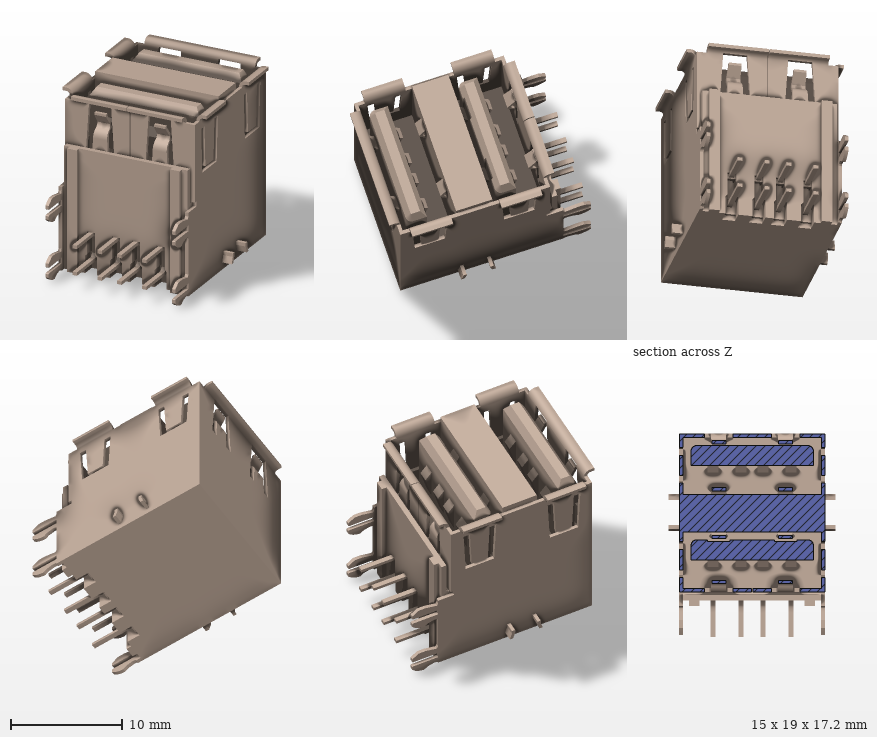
import cadquery as cq
import math


SHELL_WIDTH = 13.08
SHELL_BACK = 15.49
SHELL_FRONT = 1.28
SHELL_TOP = 16.31
SHEET = 0.33
INNER_WIDTH = SHELL_WIDTH - 2 * SHEET
INNER_BACK = SHELL_BACK - SHEET
INNER_FRONT = SHELL_FRONT + SHEET
SEAM_GAP = 0.08

LIP_BEND_RADIUS = 0.33
LIP_REACH = 0.71
LIP_TOP = SHELL_TOP + LIP_BEND_RADIUS + SHEET
FRONT_LIP_WIDTH = 11.17
SIDE_LIP_WIDTH = 3.86

PORT_PITCH = 8.47
BACK_PORT_Y = 12.63
PORT_YS = (BACK_PORT_Y, BACK_PORT_Y - PORT_PITCH)
SEPARATOR_BACK = 10.09
SEPARATOR_FRONT = 6.65

TONGUE_WIDTH = 11.04
TONGUE_DEPTH = 1.84
TONGUE_CORNER_RADIUS = 0.55
TONGUE_TOP = 16.5
TONGUE_BEVEL_HEIGHT = 0.75
TONGUE_BEVEL_INSET = 0.48
TONGUE_RELIEF_WIDTH = 2.0
TONGUE_RELIEF_DEPTH = 0.16

CONTACT_XS = (-3.5, -1.0, 1.0, 3.5)
CONTACT_WIDTH = 1.0
CONTACT_HEIGHT = 0.63
CONTACT_ROOT_Z = 10.9
CONTACT_CREST_Z = 13.2
CONTACT_TIP_Z = 13.93
PIN_WIDTH = 0.45
PIN_THICKNESS = 0.33
PIN_TIP_Y = -2.78
PIN_ROW_PITCH = 2.61
LOWER_PIN_TOP = 1.5
PIN_ROW_TOPS = (LOWER_PIN_TOP, LOWER_PIN_TOP + PIN_ROW_PITCH)
PIN_BEND_HEIGHT = 0.32

LEDGE_TOP = 8.56
PLATE_TOP = 12.1
PLATE_FRONT = 0.49
PLATE_BACK = 0.98
PLATE_FOOT_BEVEL = 0.2
RIB_CENTRE_X = 5.18
RIB_WIDTH = 0.96

SLOT_FLOOR_Y = 1.5
SLOT_STEP_Y = 0.75
SLOT_WIDTH = 0.82
SLOT_FOOT_WIDTH = 1.2
SLOT_TOP = PIN_ROW_TOPS[1]
SLOT_STEP_TOP = 3.66
SLOT_RELIEF_TOP = 0.48
SLOT_RELIEF_Y = 1.8
SLOT_TAPER_TOP = 1.9
SLOT_TAPER_BOTTOM = 1.7

SPRING_X = 3.0
SPRING_ROOT_Z = 11.07
SPRING_BEND_Z = 13.05
SPRING_CURVE_CHANGE_Z = 13.87
SPRING_CREST_Z = 14.36
SPRING_TAIL_Z = 15.33
SPRING_TIP_Z = 15.56
SPRING_BULGE = 0.6
FRONT_SPRING_BULGE = 0.74
SPRING_CURVE_CHANGE_RATIO = 0.65
SPRING_ROOT_WIDTH = 1.64
SPRING_TIP_WIDTH = 1.15
WINDOW_TOP = 16.43
WINDOW_ROOT_WIDTH = 2.92
WINDOW_TOP_WIDTH = 2.22

SIDE_CUT_CENTRE = 12.67
SIDE_CUT_TOP = 15.44
SIDE_CUT_BOTTOM = 11.07
SIDE_CUT_TOP_WIDTH = 3.29
SIDE_CUT_BOTTOM_WIDTH = 2.86
SIDE_FINGER_CENTRE = 12.66
SIDE_FINGER_END = 11.47
SIDE_FINGER_TOP_WIDTH = 1.99
SIDE_FINGER_END_WIDTH = 1.61

STEP_Z = 8.21
NOTCH_TOP = 8.7
LOWER_LOCK_Z = 1.0
LOCK_PITCH = 5.69
LOCK_CENTRES = (LOWER_LOCK_Z, LOWER_LOCK_Z + LOCK_PITCH)
LOCK_GAP = 0.55
LOCK_TIP_Y = -2.61
LOCK_TIP_HALF_HEIGHT = 0.69
LOCK_TIP_BEVEL = 0.07
LOCK_NECK_Y = -0.12
UPPER_CHEEK_START_Y = -1.27
UPPER_CHEEK_HALF_HEIGHT = 1.15
UPPER_CHEEK_END_Y = -1.96
UPPER_NECK_HALF_HEIGHT = 0.92
LOWER_CHEEK_HALF_HEIGHT = 1.25
LOWER_CHEEK_CREST_Y = -1.4
LOWER_CHEEK_ROOT = (-1.04, -0.98)
LOWER_CHEEK_BULGE = (-2.05, -1.1)
LOWER_WAIST = (-0.43, -0.82)
LOWER_NECK_HALF_HEIGHT = 0.84
LOWER_ROOT_HALF_HEIGHT = 0.98
BARB_SPAN = 15.0
BARB_CENTRE_Y = 8.39
BARB_TOP = 1.69
BARB_KINK_Z = 1.35
BARB_BOTTOM = 0.7
BARB_OFFSET = 1.12
BARB_LEAN = 0.21

OVERLAP = 0.05


def box(x0, x1, y0, y1, z0, z1):
    return cq.Workplane("XY").box(x1 - x0, y1 - y0, z1 - z0, centered=False).translate((x0, y0, z0))


def centred_box(x, width, y0, y1, z0, z1):
    return box(x - width / 2, x + width / 2, y0, y1, z0, z1)


def side_prism(points, x, width):
    """Extrude a (Y, Z) outline along X, centred on x."""
    return cq.Workplane("YZ", origin=(x, 0, 0)).polyline(points).close().extrude(width / 2, both=True)


def trapezoid(centre, z0, width0, z1, width1):
    return [
        (centre - width0 / 2, z0),
        (centre + width0 / 2, z0),
        (centre + width1 / 2, z1),
        (centre - width1 / 2, z1),
    ]


def front_prism(points, y0, y1):
    """Extrude an (X, Z) outline from y0 to y1."""
    return cq.Workplane("XZ", origin=(0, y0, 0)).polyline(points).close().extrude(y0 - y1)


def both_sides(solid):
    return solid.union(solid.mirror("YZ"))


def make_walls():
    half = SHELL_WIDTH / 2
    side_points = [
        (0, 0),
        (SHELL_BACK, 0),
        (SHELL_BACK, SHELL_TOP),
        (SHELL_FRONT, SHELL_TOP),
        (SHELL_FRONT, NOTCH_TOP),
        (INNER_FRONT, NOTCH_TOP),
        (INNER_FRONT, STEP_Z),
        (0, STEP_Z),
    ]
    sides = both_sides(side_prism(side_points, half - SHEET / 2, SHEET))
    back = box(-half, half, INNER_BACK, SHELL_BACK, 0, SHELL_TOP)
    front = centred_box(0, INNER_WIDTH, SHELL_FRONT, INNER_FRONT, LEDGE_TOP, SHELL_TOP)
    return sides.union(back).union(front)


def make_lip(length):
    """Lip bending outwards towards +X from a wall whose outer face is X = 0, centred on Y = 0."""
    outer_radius = LIP_BEND_RADIUS + SHEET
    diagonal = math.sqrt(0.5)
    bend_x = LIP_BEND_RADIUS
    profile = (
        cq.Workplane("XZ")
        .moveTo(-SHEET, SHELL_TOP)
        .threePointArc(
            (bend_x - outer_radius * diagonal, SHELL_TOP + outer_radius * diagonal),
            (bend_x, LIP_TOP),
        )
        .lineTo(LIP_REACH, LIP_TOP)
        .lineTo(LIP_REACH, LIP_TOP - SHEET)
        .lineTo(bend_x, LIP_TOP - SHEET)
        .threePointArc(
            (bend_x - LIP_BEND_RADIUS * diagonal, SHELL_TOP + LIP_BEND_RADIUS * diagonal),
            (0, SHELL_TOP),
        )
        .close()
    )
    return profile.extrude(length / 2, both=True)


def place_lip(length, angle, x, y):
    return make_lip(length).rotate((0, 0, 0), (0, 0, 1), angle).translate((x, y, 0))


def make_lips():
    lips = place_lip(FRONT_LIP_WIDTH, 90, 0, SHELL_BACK)
    lips = lips.union(place_lip(FRONT_LIP_WIDTH, -90, 0, SHELL_FRONT))
    for y in PORT_YS:
        lips = lips.union(both_sides(place_lip(SIDE_LIP_WIDTH, 0, SHELL_WIDTH / 2, y)))
    return lips


def make_spring(x, wall_outer_y, inward, bulge=SPRING_BULGE):
    """Bent strip that rises from a wall, bulges into the port and returns to the wall plane."""
    foot_z = SPRING_ROOT_Z - OVERLAP
    change = bulge * SPRING_CURVE_CHANGE_RATIO
    rise = SPRING_CURVE_CHANGE_Z - SPRING_BEND_Z
    bend_radius = (change**2 + rise**2) / (2 * change)
    half_bend = math.asin(rise / bend_radius) / 2
    bend_mid = bend_radius * (1 - math.cos(half_bend))
    bend_mid_z = SPRING_BEND_Z + bend_radius * math.sin(half_bend)

    def at(offset, z):
        return (wall_outer_y + inward * offset, z)

    def surface_line(wire, skin):
        """Edge of the strip from its foot over the bulge to its tip."""
        return (
            wire.moveTo(*at(skin, foot_z))
            .lineTo(*at(skin, SPRING_BEND_Z))
            .threePointArc(at(skin + bend_mid, bend_mid_z), at(skin + change, SPRING_CURVE_CHANGE_Z))
            .tangentArcPoint(at(skin + bulge, SPRING_CREST_Z), relative=False)
            .lineTo(*at(skin, SPRING_TAIL_Z))
            .lineTo(*at(skin, SPRING_TIP_Z))
        )

    blank_depth = SHEET + bulge + OVERLAP

    def behind(skin):
        """Everything between a surface of the strip and a plane well outside the wall."""
        wire = surface_line(cq.Workplane("YZ", origin=(x, 0, 0)), skin)
        wire = wire.lineTo(*at(-blank_depth, SPRING_TIP_Z)).lineTo(*at(-blank_depth, foot_z)).close()
        return wire.extrude(SPRING_ROOT_WIDTH, both=True)

    strip = behind(SHEET).cut(behind(0))
    outline = trapezoid(x, foot_z, SPRING_ROOT_WIDTH, SPRING_TIP_Z, SPRING_TIP_WIDTH)
    return strip.intersect(front_prism(outline, wall_outer_y - blank_depth, wall_outer_y + blank_depth))


def make_spring_windows():
    """Openings around the spring fingers of the front and back walls, running up into the lip bends."""
    outline = trapezoid(SPRING_X, SPRING_ROOT_Z, WINDOW_ROOT_WIDTH, WINDOW_TOP, WINDOW_TOP_WIDTH)
    front = front_prism(outline, SHELL_FRONT - LIP_BEND_RADIUS, INNER_FRONT + OVERLAP)
    back = front_prism(outline, INNER_BACK - OVERLAP, SHELL_BACK + LIP_BEND_RADIUS)
    return both_sides(front.union(back))


def make_side_cut(shift):
    cut = trapezoid(
        SIDE_CUT_CENTRE + shift, SIDE_CUT_BOTTOM, SIDE_CUT_BOTTOM_WIDTH, SIDE_CUT_TOP, SIDE_CUT_TOP_WIDTH
    )
    finger = trapezoid(
        SIDE_FINGER_CENTRE + shift, SIDE_FINGER_END, SIDE_FINGER_END_WIDTH, SIDE_CUT_TOP, SIDE_FINGER_TOP_WIDTH
    )
    x = (SHELL_WIDTH - SHEET) / 2
    width = SHEET + 2 * OVERLAP
    return both_sides(side_prism(cut, x, width).cut(side_prism(finger, x, width)))


def make_board_lock(z):
    """Pair of prongs either side of a gap centred on z."""
    x = (SHELL_WIDTH - SHEET) / 2
    half_gap = LOCK_GAP / 2
    upper = [
        (OVERLAP, half_gap),
        (LOCK_TIP_Y + LOCK_TIP_BEVEL, half_gap),
        (LOCK_TIP_Y, half_gap + LOCK_TIP_BEVEL),
        (LOCK_TIP_Y, LOCK_TIP_HALF_HEIGHT),
        (UPPER_CHEEK_END_Y, UPPER_CHEEK_HALF_HEIGHT),
        (UPPER_CHEEK_START_Y, UPPER_CHEEK_HALF_HEIGHT),
        (LOCK_NECK_Y, UPPER_NECK_HALF_HEIGHT),
        (0, UPPER_CHEEK_HALF_HEIGHT),
        (OVERLAP, UPPER_CHEEK_HALF_HEIGHT),
    ]
    lower = (
        cq.Workplane("YZ", origin=(x, 0, 0))
        .moveTo(OVERLAP, -half_gap)
        .lineTo(LOCK_TIP_Y + LOCK_TIP_BEVEL, -half_gap)
        .lineTo(LOCK_TIP_Y, -half_gap - LOCK_TIP_BEVEL)
        .lineTo(LOCK_TIP_Y, -LOCK_TIP_HALF_HEIGHT)
        .threePointArc(LOWER_CHEEK_BULGE, (LOWER_CHEEK_CREST_Y, -LOWER_CHEEK_HALF_HEIGHT))
        .lineTo(*LOWER_CHEEK_ROOT)
        .lineTo(*LOWER_WAIST)
        .lineTo(LOCK_NECK_Y, -LOWER_NECK_HALF_HEIGHT)
        .lineTo(0, -LOWER_ROOT_HALF_HEIGHT)
        .lineTo(OVERLAP, -LOWER_ROOT_HALF_HEIGHT)
        .close()
        .extrude(SHEET / 2, both=True)
    )
    prongs = side_prism(upper, x, SHEET).union(lower)
    return both_sides(prongs.translate((0, 0, z)))


def make_barbs():
    """Kinked tabs that stand out from the side walls near their lower edge."""
    x = (BARB_SPAN + INNER_WIDTH) / 4
    width = (BARB_SPAN - INNER_WIDTH) / 2
    barbs = None
    for side in (1, -1):
        near = BARB_CENTRE_Y + side * BARB_OFFSET
        points = [
            (near, BARB_TOP),
            (near, BARB_KINK_Z),
            (near + side * BARB_LEAN, BARB_BOTTOM),
            (near + side * (BARB_LEAN + SHEET), BARB_BOTTOM),
            (near + side * SHEET, BARB_KINK_Z),
            (near + side * SHEET, BARB_TOP),
        ]
        barb = both_sides(side_prism(points, x, width))
        barbs = barb if barbs is None else barbs.union(barb)
    return barbs


def make_shell():
    shell = make_walls().union(make_lips())
    shell = shell.cut(make_spring_windows())
    for y in PORT_YS:
        shell = shell.cut(make_side_cut(y - BACK_PORT_Y))
    shell = shell.cut(centred_box(0, SEAM_GAP, SHELL_FRONT - LIP_REACH, INNER_FRONT, LEDGE_TOP, LIP_TOP))
    for x in (-SPRING_X, SPRING_X):
        shell = shell.union(make_spring(x, SHELL_BACK, -1))
        shell = shell.union(make_spring(x, SHELL_FRONT, 1, FRONT_SPRING_BULGE))
    for z in LOCK_CENTRES:
        shell = shell.union(make_board_lock(z))
    return shell.union(make_barbs())


def make_tongue(port_y):
    front = port_y
    back = port_y + TONGUE_DEPTH
    bevel_z = TONGUE_TOP - TONGUE_BEVEL_HEIGHT

    def blank(z):
        half = TONGUE_WIDTH / 2
        r = TONGUE_CORNER_RADIUS
        d = r * (1 - math.sqrt(0.5))
        return (
            cq.Workplane("XY", origin=(0, 0, z))
            .moveTo(-half, front)
            .lineTo(half, front)
            .lineTo(half, back - r)
            .threePointArc((half - d, back - d), (half - r, back))
            .lineTo(-half + r, back)
            .threePointArc((-half + d, back - d), (-half, back - r))
            .close()
        )

    taper = math.degrees(math.atan2(TONGUE_BEVEL_INSET, TONGUE_BEVEL_HEIGHT))
    stem = blank(LEDGE_TOP - OVERLAP).extrude(bevel_z - LEDGE_TOP + OVERLAP)
    tongue = stem.union(blank(bevel_z).extrude(TONGUE_BEVEL_HEIGHT, taper=taper))
    contact = [
        (front + OVERLAP, CONTACT_ROOT_Z),
        (front, CONTACT_ROOT_Z),
        (front - CONTACT_HEIGHT, CONTACT_CREST_Z),
        (front, CONTACT_TIP_Z),
        (front + OVERLAP, CONTACT_TIP_Z),
    ]
    for x in CONTACT_XS:
        tongue = tongue.union(side_prism(contact, x, CONTACT_WIDTH))
    return tongue


def make_separator():
    separator = centred_box(0, INNER_WIDTH, SEPARATOR_FRONT, SEPARATOR_BACK, LEDGE_TOP, LIP_TOP)
    for x in (-SPRING_X, SPRING_X):
        separator = separator.union(make_spring(x, SEPARATOR_BACK - SHEET, 1))
        separator = separator.union(make_spring(x, SEPARATOR_FRONT + SHEET, -1))
    return separator


def make_pin_slot(x):
    """Slot in the housing face, wider and deeper towards the underside and shallow at its top."""
    half = SLOT_WIDTH / 2
    half_foot = SLOT_FOOT_WIDTH / 2

    def tapered(top, floor):
        points = [
            (x - half, top),
            (x + half, top),
            (x + half, SLOT_TAPER_TOP),
            (x + half_foot, SLOT_TAPER_BOTTOM),
            (x + half_foot, -OVERLAP),
            (x - half_foot, -OVERLAP),
            (x - half_foot, SLOT_TAPER_BOTTOM),
            (x - half, SLOT_TAPER_TOP),
        ]
        return front_prism(points, 0, floor)

    relief = centred_box(x, SLOT_FOOT_WIDTH, 0, SLOT_RELIEF_Y, -OVERLAP, SLOT_RELIEF_TOP)
    return tapered(SLOT_TOP, SLOT_STEP_Y).union(tapered(SLOT_STEP_TOP, SLOT_FLOOR_Y)).union(relief)


def make_pins(x):
    pins = None
    for top in PIN_ROW_TOPS:
        pin = centred_box(x, PIN_WIDTH, PIN_TIP_Y, SLOT_FLOOR_Y + OVERLAP, top - PIN_THICKNESS, top)
        pins = pin if pins is None else pins.union(pin)
    leg_front = SLOT_FLOOR_Y - PIN_THICKNESS
    bend = [
        (leg_front - PIN_BEND_HEIGHT, LOWER_PIN_TOP),
        (leg_front, LOWER_PIN_TOP + PIN_BEND_HEIGHT),
        (SLOT_FLOOR_Y + OVERLAP, LOWER_PIN_TOP + PIN_BEND_HEIGHT),
        (SLOT_FLOOR_Y + OVERLAP, LOWER_PIN_TOP),
    ]
    leg = centred_box(x, PIN_WIDTH, leg_front, SLOT_FLOOR_Y + OVERLAP, LOWER_PIN_TOP, SLOT_STEP_TOP)
    return pins.union(leg).union(side_prism(bend, x, PIN_WIDTH))


def make_housing():
    points = [
        (PLATE_FRONT, 0),
        (INNER_BACK, 0),
        (INNER_BACK, LEDGE_TOP),
        (PLATE_BACK + PLATE_FOOT_BEVEL, LEDGE_TOP),
        (PLATE_BACK, LEDGE_TOP + PLATE_FOOT_BEVEL),
        (PLATE_BACK, PLATE_TOP),
        (PLATE_FRONT, PLATE_TOP),
    ]
    housing = side_prism(points, 0, INNER_WIDTH)
    for x in (-RIB_CENTRE_X, RIB_CENTRE_X):
        housing = housing.union(centred_box(x, RIB_WIDTH, 0, PLATE_FRONT, 0, PLATE_TOP))
    housing = housing.union(make_separator())
    for y in PORT_YS:
        housing = housing.union(make_tongue(y))
    for x in (-SPRING_X, SPRING_X):
        relief_back = PORT_YS[1] + TONGUE_DEPTH
        relief_front = relief_back - TONGUE_RELIEF_DEPTH
        housing = housing.cut(
            centred_box(x, TONGUE_RELIEF_WIDTH, relief_front, relief_back, LEDGE_TOP, TONGUE_TOP)
        )
    for x in CONTACT_XS:
        housing = housing.cut(make_pin_slot(x))
        housing = housing.union(make_pins(x))
    return housing


result = make_shell().union(make_housing())